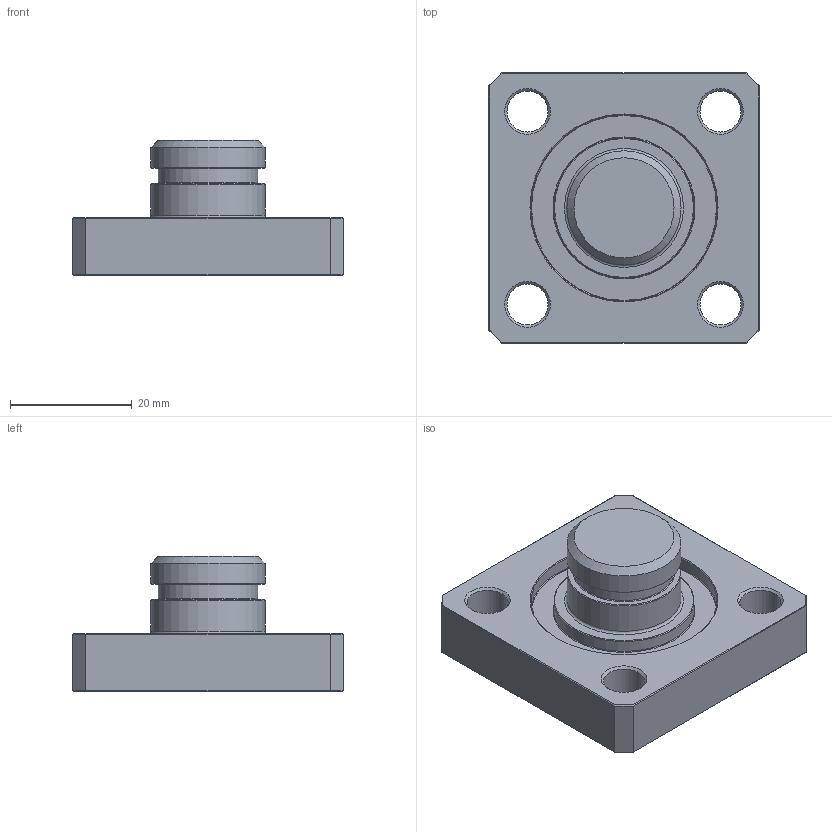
import cadquery as cq
import math

plate_side = 44.45
plate_height = 9.53
corner_chamfer = 2.1
plate_edge_break = 0.127

hole_diameter = 6.76
hole_spacing = 31.75
hole_edge_break = 0.38

seal_outer_diameter = 30.68
seal_inner_diameter = 23.11
seal_depth = 2.2
seal_edge_break = 0.127
seal_root_radius = 0.127

total_height = 22.23
boss_diameter = 18.78
boss_foot_radius = 0.4
boss_top_chamfer = 1.15

ring_groove_diameter = 16.4
ring_groove_bottom = 15.15
ring_groove_width = 2.54
ring_groove_top = ring_groove_bottom + ring_groove_width
ring_groove_edge_break = 0.127
ring_groove_root_radius = 0.127


def arc_midpoint_offset(radius):
    """Distance, along each wall, from a quarter fillet's midpoint to the sharp corner."""
    return radius * (1 - math.sqrt(0.5))


def revolve_about_z(profile):
    """Full turn of a closed XZ profile about the Z axis."""
    return profile.revolve(360, (0, 0), (0, 1))


def make_plate():
    """Square plate with cut corners and broken top and bottom edges."""
    plate = cq.Workplane("XY").rect(plate_side, plate_side).extrude(plate_height)
    plate = plate.edges("|Z").chamfer(corner_chamfer)
    return plate.faces("<Z or >Z").edges().chamfer(plate_edge_break)


def make_boss():
    """Revolved boss with a filleted foot, a ring groove and a chamfered top."""
    boss_radius = boss_diameter / 2
    foot_outer_radius = boss_radius + boss_foot_radius
    foot_arc_offset = arc_midpoint_offset(boss_foot_radius)
    profile = (
        cq.Workplane("XZ")
        .lineTo(foot_outer_radius, 0)
        .lineTo(foot_outer_radius, plate_height)
        .threePointArc(
            (boss_radius + foot_arc_offset, plate_height + foot_arc_offset),
            (boss_radius, plate_height + boss_foot_radius),
        )
        .lineTo(boss_radius, total_height - boss_top_chamfer)
        .lineTo(boss_radius - boss_top_chamfer, total_height)
        .lineTo(0, total_height)
        .close()
    )
    return revolve_about_z(profile)


def make_ring_groove():
    """Cutter for the boss groove, with rounded roots and a flared mouth."""
    boss_radius = boss_diameter / 2
    root_radius = ring_groove_diameter / 2
    flare_start = boss_radius - ring_groove_edge_break
    root_arc_offset = arc_midpoint_offset(ring_groove_root_radius)
    profile = (
        cq.Workplane("XZ")
        .moveTo(boss_radius, ring_groove_bottom - ring_groove_edge_break)
        .lineTo(flare_start, ring_groove_bottom)
        .lineTo(root_radius + ring_groove_root_radius, ring_groove_bottom)
        .threePointArc(
            (root_radius + root_arc_offset, ring_groove_bottom + root_arc_offset),
            (root_radius, ring_groove_bottom + ring_groove_root_radius),
        )
        .lineTo(root_radius, ring_groove_top - ring_groove_root_radius)
        .threePointArc(
            (root_radius + root_arc_offset, ring_groove_top - root_arc_offset),
            (root_radius + ring_groove_root_radius, ring_groove_top),
        )
        .lineTo(flare_start, ring_groove_top)
        .lineTo(boss_radius, ring_groove_top + ring_groove_edge_break)
        .close()
    )
    return revolve_about_z(profile)


def make_seal_groove():
    """Ring-shaped cutter with rounded floor corners and a mouth flared at the plate face."""
    inner_radius = seal_inner_diameter / 2
    outer_radius = seal_outer_diameter / 2
    floor = plate_height - seal_depth
    flare_start = plate_height - seal_edge_break
    root_arc_offset = arc_midpoint_offset(seal_root_radius)
    profile = (
        cq.Workplane("XZ")
        .moveTo(inner_radius, floor + seal_root_radius)
        .threePointArc(
            (inner_radius + root_arc_offset, floor + root_arc_offset),
            (inner_radius + seal_root_radius, floor),
        )
        .lineTo(outer_radius - seal_root_radius, floor)
        .threePointArc(
            (outer_radius - root_arc_offset, floor + root_arc_offset),
            (outer_radius, floor + seal_root_radius),
        )
        .lineTo(outer_radius, flare_start)
        .lineTo(outer_radius + seal_edge_break, plate_height)
        .lineTo(inner_radius - seal_edge_break, plate_height)
        .lineTo(inner_radius, flare_start)
        .close()
    )
    return revolve_about_z(profile)


def make_mounting_holes():
    """Four through-hole cutters, countersunk slightly at the top face."""
    hole_radius = hole_diameter / 2
    layout = cq.Workplane("XY").rect(hole_spacing, hole_spacing, forConstruction=True).vertices()
    profile = (
        cq.Workplane("XZ")
        .lineTo(hole_radius, 0)
        .lineTo(hole_radius, plate_height - hole_edge_break)
        .lineTo(hole_radius + hole_edge_break, plate_height)
        .lineTo(0, plate_height)
        .close()
    )
    hole = revolve_about_z(profile).val()
    return layout.eachpoint(lambda place: hole.moved(place))


result = (
    make_plate()
    .union(make_boss())
    .cut(make_ring_groove())
    .cut(make_seal_groove())
    .cut(make_mounting_holes())
)